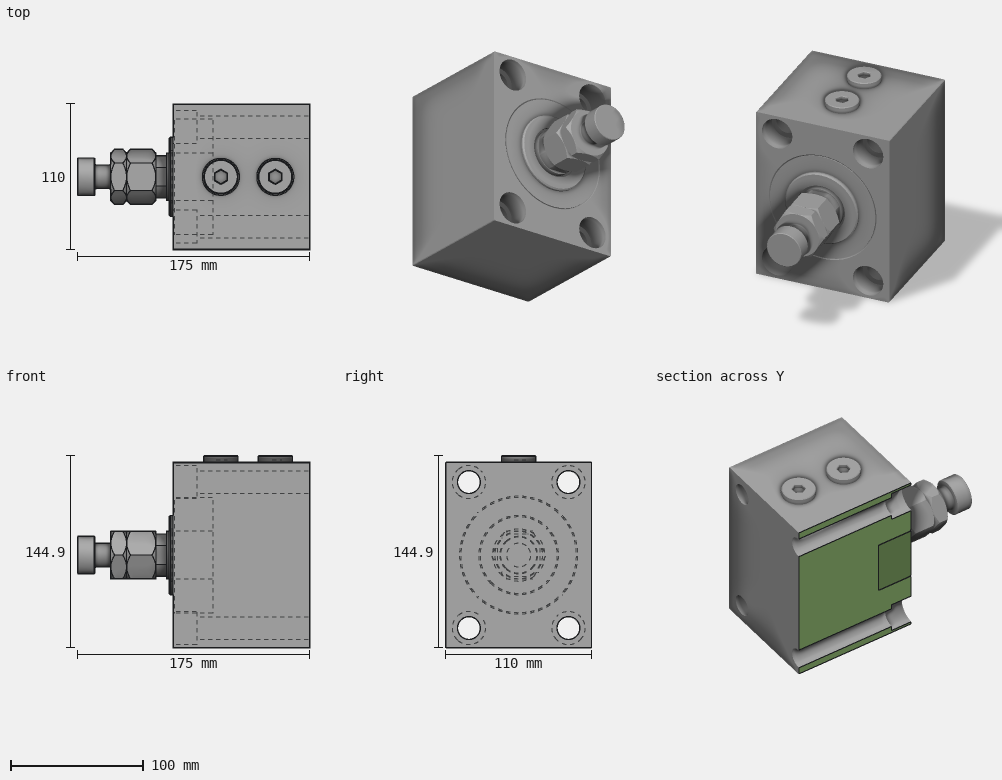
import cadquery as cq
import math

BLOCK_LENGTH = 103.0
BLOCK_WIDTH = 110.0
BLOCK_HEIGHT = 140.0
BLOCK_EDGE_CHAMFER = 0.5

BOLT_SPACING_Y = 75.0
BOLT_SPACING_Z = 110.0
BOLT_HOLE_DIAMETER = 17.0
BOLT_HEAD_DIAMETER = 25.0
BOLT_HEAD_DEPTH = 18.0

GLAND_DIAMETER = 87.0
GLAND_DEPTH = 30.0
GLAND_SEAT_CHAMFER = 1.0
GLAND_SEAT_ANGLE = 45.0
GLAND_COLLAR_DIAMETER = 60.0
GLAND_COLLAR_HEIGHT = 3.0
GLAND_COLLAR_CHAMFER = 1.0
WIPER_RECESS_DIAMETER = 39.5
WIPER_RECESS_DEPTH = 2.0

ROD_DIAMETER = 36.0
ROD_TIP_DIAMETER = 35.0
ROD_TIP_LENGTH = 8.0
ROD_SHOULDER = 2.0
ROD_ACROSS_FLATS = 32.0

HEX_ACROSS_FLATS = 36.0
HEX_FACE_DIAMETER = 35.8
HEX_CHAMFER_ANGLE = 45.0
LONG_HEX_LENGTH = 22.0
SHORT_HEX_LENGTH = 12.0
NECK_DIAMETER = 18.0
NECK_LENGTH = 12.0
NECK_FILLET = 1.0
HEAD_DIAMETER = 28.4
HEAD_LENGTH = 13.0
HEAD_CHAMFER = 0.5

PLUG_POSITIONS_X = (36.0, 77.0)
PLUG_DIAMETER = 26.0
PLUG_HEAD_HEIGHT = 5.0
PLUG_CHAMFER = 0.6
PLUG_SEAT_DIAMETER = 28.0
PLUG_SEAT_DEPTH = 0.1
SOCKET_ACROSS_FLATS = 9.0
SOCKET_MOUTH_ACROSS_FLATS = 10.0
SOCKET_DEPTH = 3.4

collar_face_x = -GLAND_COLLAR_HEIGHT
rod_shoulder_x = collar_face_x - ROD_SHOULDER
rod_end_x = rod_shoulder_x - ROD_TIP_LENGTH
hex_joint_x = rod_end_x - LONG_HEX_LENGTH
short_hex_face_x = hex_joint_x - SHORT_HEX_LENGTH
head_back_x = short_hex_face_x - NECK_LENGTH
head_face_x = head_back_x - HEAD_LENGTH
block_top_z = BLOCK_HEIGHT / 2
plug_seat_z = block_top_z - PLUG_SEAT_DEPTH
plug_top_z = plug_seat_z + PLUG_HEAD_HEIGHT


def section(x):
    """Sketch plane across the cylinder axis at x, extruding toward +X."""
    return cq.Workplane("YZ", origin=(x, 0, 0))


def disc(x, diameter, length):
    return section(x).circle(diameter / 2).extrude(length)


def corner_diameter(across_flats):
    """Diameter through the corners of a regular hexagon."""
    return across_flats / math.cos(math.pi / 6)


def make_block():
    block = (
        cq.Workplane("XY")
        .box(BLOCK_LENGTH, BLOCK_WIDTH, BLOCK_HEIGHT)
        .translate((BLOCK_LENGTH / 2, 0, 0))
        .edges("|X")
        .chamfer(BLOCK_EDGE_CHAMFER)
    )
    bolt_centres = section(0).rarray(BOLT_SPACING_Y, BOLT_SPACING_Z, 2, 2)
    block = block.cut(bolt_centres.circle(BOLT_HOLE_DIAMETER / 2).extrude(BLOCK_LENGTH))
    block = block.cut(bolt_centres.circle(BOLT_HEAD_DIAMETER / 2).extrude(BOLT_HEAD_DEPTH))

    block = block.cut(disc(0, GLAND_DIAMETER, GLAND_DEPTH))
    seat_mouth_radius = GLAND_DIAMETER / 2 + GLAND_SEAT_CHAMFER
    seat = section(0).circle(seat_mouth_radius).extrude(GLAND_SEAT_CHAMFER, taper=GLAND_SEAT_ANGLE)
    block = block.cut(seat)

    for x in PLUG_POSITIONS_X:
        plug_seat = cq.Workplane("XY", origin=(x, 0, block_top_z)).circle(PLUG_SEAT_DIAMETER / 2)
        block = block.cut(plug_seat.extrude(-PLUG_SEAT_DEPTH))
    return block


def make_gland():
    collar = disc(collar_face_x, GLAND_COLLAR_DIAMETER, GLAND_COLLAR_HEIGHT)
    collar = collar.faces("<X").chamfer(GLAND_COLLAR_CHAMFER)
    gland = disc(0, GLAND_DIAMETER, GLAND_DEPTH).union(collar)
    gland = gland.cut(disc(collar_face_x, ROD_DIAMETER, GLAND_COLLAR_HEIGHT + GLAND_DEPTH))
    return gland.cut(disc(collar_face_x, WIPER_RECESS_DIAMETER, WIPER_RECESS_DEPTH))


def make_rod():
    shaft = disc(rod_shoulder_x, ROD_DIAMETER, GLAND_DEPTH - rod_shoulder_x)
    tip = disc(rod_end_x, ROD_TIP_DIAMETER, ROD_TIP_LENGTH)
    flats = section(rod_end_x).rect(ROD_ACROSS_FLATS, ROD_ACROSS_FLATS).extrude(ROD_TIP_LENGTH)
    return shaft.union(tip.intersect(flats))


def make_chamfered_hex(x, length):
    """Hexagon with corners at +Y and -Y, its corners turned off conically at both ends."""
    corners = corner_diameter(HEX_ACROSS_FLATS)
    cone_height = (corners - HEX_FACE_DIAMETER) / 2
    cone_length = cone_height / math.tan(math.radians(HEX_CHAMFER_ANGLE))
    turned = disc(x, corners, length).faces("<X or >X").chamfer(cone_length, cone_height)
    return section(x).polygon(6, corners).extrude(length).intersect(turned)


def make_coupling_pin():
    long_hex = make_chamfered_hex(hex_joint_x, LONG_HEX_LENGTH)
    short_hex = make_chamfered_hex(short_hex_face_x, SHORT_HEX_LENGTH)
    head = disc(head_face_x, HEAD_DIAMETER, HEAD_LENGTH).faces("<X or >X").chamfer(HEAD_CHAMFER)
    neck_radius = NECK_DIAMETER / 2
    flare_radius = neck_radius + NECK_FILLET
    arc_inset = NECK_FILLET * (1 - math.sqrt(0.5))
    neck = (
        cq.Workplane("XY")
        .moveTo(head_back_x, 0)
        .lineTo(head_back_x, flare_radius)
        .threePointArc(
            (head_back_x + arc_inset, neck_radius + arc_inset),
            (head_back_x + NECK_FILLET, neck_radius),
        )
        .lineTo(short_hex_face_x - NECK_FILLET, neck_radius)
        .threePointArc(
            (short_hex_face_x - arc_inset, neck_radius + arc_inset),
            (short_hex_face_x, flare_radius),
        )
        .lineTo(short_hex_face_x, 0)
        .close()
        .revolve(360, (0, 0, 0), (1, 0, 0))
    )
    return long_hex.union(short_hex).union(neck).union(head)


def make_plug(x):
    head = (
        cq.Workplane("XY", origin=(x, 0, plug_seat_z))
        .circle(PLUG_DIAMETER / 2)
        .extrude(PLUG_HEAD_HEIGHT)
        .faces(">Z")
        .chamfer(PLUG_CHAMFER)
    )
    socket_plane = cq.Workplane("XY", origin=(x, 0, plug_top_z)).transformed(rotate=(0, 0, 90))
    socket = socket_plane.polygon(6, corner_diameter(SOCKET_ACROSS_FLATS)).extrude(-SOCKET_DEPTH)
    bevel_depth = (SOCKET_MOUTH_ACROSS_FLATS - SOCKET_ACROSS_FLATS) / 2
    mouth = (
        socket_plane.polygon(6, corner_diameter(SOCKET_MOUTH_ACROSS_FLATS))
        .workplane(offset=-bevel_depth)
        .polygon(6, corner_diameter(SOCKET_ACROSS_FLATS))
        .loft(ruled=True)
    )
    return head.cut(socket).cut(mouth)


block = make_block()
gland = make_gland()
rod = make_rod()
coupling_pin = make_coupling_pin()
plugs = [make_plug(x) for x in PLUG_POSITIONS_X]

result = cq.Compound.makeCompound(
    [block.val(), gland.val(), rod.val(), coupling_pin.val(), *[plug.val() for plug in plugs]]
)